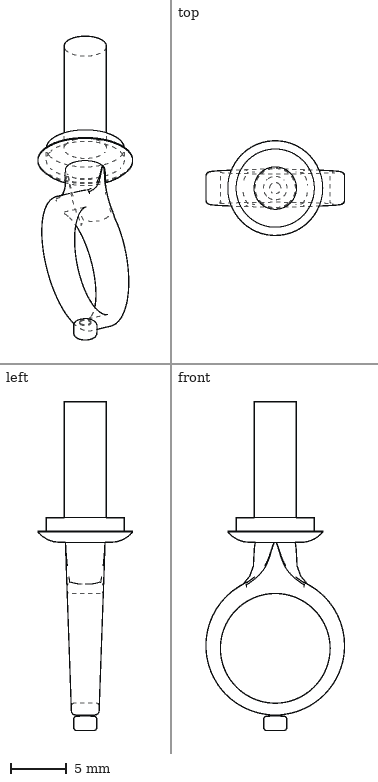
import cadquery as cq


bore_diameter = 9.8
rim_radius = 6.21
rim_offset = 0.24
rim_rounding = 0.38
bore_rounding = 0.3

half_thickness_at_bore = 1.45
face_slope = 0.0356

flange_diameter = 8.5
flange_bottom = 9.47
flange_top = 10.5
flange_lip = 0.1
dish_radius = 2.5
collar_diameter = 7.0
collar_top = 11.68
stud_diameter = 3.8
stud_top = 22.07

button_diameter = 2.1
button_top = -6.06
button_bottom = -7.36
button_rounding = 0.3
button_neck_diameter = 1.0

neck_sections = [
    (5.68, 2.95, 2.55, 0.30),
    (6.35, 2.36, 1.66, 0.22),
    (7.10, 2.02, 1.00, 0.14),
    (8.30, 1.91, 0.46, 0.06),
    (flange_bottom, 1.80, 0.08, 0.03),
]
neck_root_depth = 0.4
overlap = 0.2
reach = 2 * rim_radius


def half_thickness(z):
    """Half the distance between the leaning faces at height z."""
    return half_thickness_at_bore + face_slope * z


def make_wedge():
    """Block bounded by the two leaning faces, long enough to hold the ring."""
    return (
        cq.Workplane("YZ")
        .polyline([
            (-half_thickness(-reach), -reach),
            (half_thickness(-reach), -reach),
            (half_thickness(reach), reach),
            (-half_thickness(reach), reach),
        ])
        .close()
        .extrude(reach, both=True)
    )


def make_ring():
    """Outer disc of the eye with its rounded rim, before boring."""
    disc = (
        cq.Workplane("XZ")
        .center(0, rim_offset)
        .circle(rim_radius)
        .extrude(reach, both=True)
    )
    return disc.intersect(make_wedge()).faces("<Y or >Y").edges().fillet(rim_rounding)


def make_neck_section(z, side, face, bevel):
    """Closed horizontal section: two flat faces, bevelled corners, bowed sides."""
    depth = half_thickness(z)
    edge = face + bevel
    shoulder = depth - bevel
    return (
        cq.Workplane("XY", origin=(0, 0, z))
        .moveTo(-face, -depth)
        .lineTo(face, -depth)
        .lineTo(edge, -shoulder)
        .threePointArc((side, 0), (edge, shoulder))
        .lineTo(face, depth)
        .lineTo(-face, depth)
        .lineTo(-edge, shoulder)
        .threePointArc((-side, 0), (-edge, -shoulder))
        .close()
    )


def make_neck():
    """Neck flowing from a round top into the ring, plus a root buried in the ring."""
    wires = [make_neck_section(*section).wires().val() for section in neck_sections]
    flare = cq.Workplane(cq.Solid.makeLoft(wires))
    root = make_neck_section(*neck_sections[0]).extrude(-neck_root_depth)
    return flare.union(root.intersect(make_wedge()))


def bore_eye(blank):
    """Bore the eye along Y and round both mouths of the bore."""
    cutter = (
        cq.Workplane("XZ")
        .circle(bore_diameter / 2)
        .extrude(reach, both=True)
    )
    bored = blank.cut(cutter)
    return bored.edges("%ELLIPSE").fillet(bore_rounding)


def make_head():
    """Stud, collar and dished flange turned about Z."""
    flange_radius = flange_diameter / 2
    lip_bottom = flange_top - flange_lip
    dish_rise = lip_bottom - flange_bottom
    dish_run = (dish_radius**2 - (dish_radius - dish_rise) ** 2) ** 0.5
    return (
        cq.Workplane("XZ")
        .moveTo(0, flange_bottom)
        .lineTo(flange_radius - dish_run, flange_bottom)
        .radiusArc((flange_radius, lip_bottom), -dish_radius)
        .lineTo(flange_radius, flange_top)
        .lineTo(collar_diameter / 2, flange_top)
        .lineTo(collar_diameter / 2, collar_top)
        .lineTo(stud_diameter / 2, collar_top)
        .lineTo(stud_diameter / 2, stud_top)
        .lineTo(0, stud_top)
        .close()
        .revolve(360, (0, 0, 0), (0, 1, 0))
    )


def make_button():
    """Rounded button on a thin neck that reaches into the ring wall."""
    button = (
        cq.Workplane("XY", origin=(0, 0, button_bottom))
        .circle(button_diameter / 2)
        .extrude(button_top - button_bottom)
        .edges()
        .fillet(button_rounding)
    )
    ring_bottom = rim_offset - rim_radius
    neck = (
        cq.Workplane("XY", origin=(0, 0, button_top - overlap))
        .circle(button_neck_diameter / 2)
        .extrude(ring_bottom - button_top + 2 * overlap)
    )
    return button.union(neck)


eye = bore_eye(make_ring().union(make_neck()))
result = eye.union(make_head()).union(make_button())